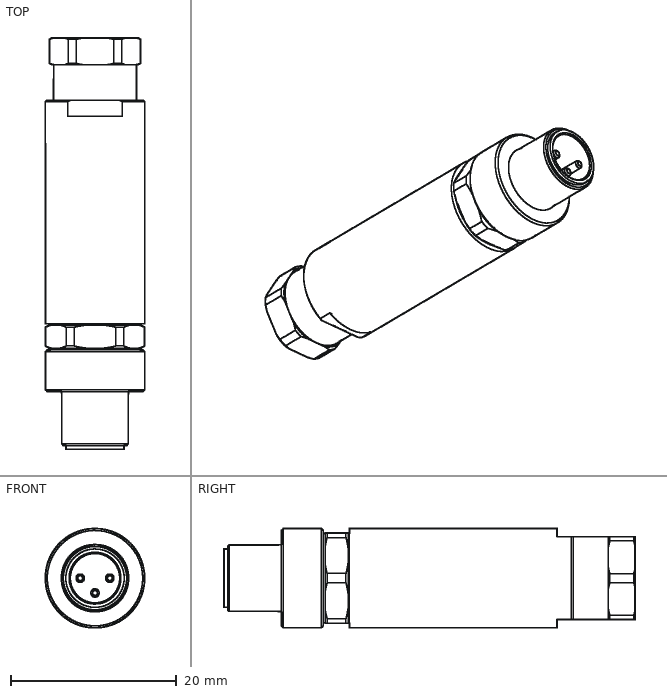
import cadquery as cq
import math

LENGTH = 49.6
BODY_R = 6.0

LIP_R = 3.5
LIP_END = 0.45
PLUG_R = 4.0
PLUG_CHAMFER = 0.2
SOCKET_R = 3.0
SOCKET_DEPTH = 5.7
RIM_BEVEL = 0.15

FOOT_START = 6.45
FOOT_R = 4.05

COLLAR_START = 6.95
COLLAR_END = 12.0
COLLAR_CHAMFER = 0.25

FRONT_HEX_FLATS = 10.9
FRONT_HEX_START = 12.2
FRONT_HEX_END = 15.0
GROOVE_R = 5.4

BODY_START = 15.15
BODY_END = 42.1
BODY_CHAMFER = 0.2
WRENCH_FLATS = 10.0
WRENCH_START = 40.2

NECK_R = WRENCH_FLATS / 2
NUT_START = 46.4
NUT_FLATS = 10.0
NUT_R = 5.5

HEX_BEVEL_ANGLE = 30
FRONT_HEX_BEVEL = 0.45
NUT_BEVEL = 0.3

PIN_R = 0.5
PIN_TIP = 0.6
PIN_CHAMFER = 0.2
PIN_CIRCLE_R = 1.8
PIN_ANGLES = (0, 180, 270)


def cylinder(radius, start, end, x=0, z=0):
    """Cylinder along Y from start to end, with its axis at (x, z)."""
    plane = cq.Workplane("XZ", origin=(x, start, z))
    return plane.circle(radius).extrude(start - end)


def revolved(outline):
    """Solid of revolution about Y from (radius, y) points."""
    return cq.Workplane("XY").polyline(outline).close().revolve(360, (0, 0), (0, 1))


def hexagon(flats, corner_r, bevel, start, end):
    """Hexagon along Y, flats facing +Z and -Z, with rounded and bevelled corners."""
    corner_distance = flats / math.cos(math.radians(30))
    prism = cq.Workplane("XZ", origin=(0, start, 0)).polygon(6, corner_distance).extrude(start - end)
    bevel_length = bevel * math.tan(math.radians(HEX_BEVEL_ANGLE))
    envelope = revolved([
        (0, start),
        (corner_r - bevel, start),
        (corner_r, start + bevel_length),
        (corner_r, end - bevel_length),
        (corner_r - bevel, end),
        (0, end),
    ])
    return prism.intersect(envelope)


def plug_sleeve():
    outer = revolved([
        (0, 0),
        (LIP_R, 0),
        (LIP_R, LIP_END),
        (PLUG_R - PLUG_CHAMFER, LIP_END),
        (PLUG_R, LIP_END + PLUG_CHAMFER),
        (PLUG_R, FOOT_START),
        (FOOT_R, COLLAR_START),
        (0, COLLAR_START),
    ])
    socket = revolved([
        (0, 0),
        (SOCKET_R + RIM_BEVEL, 0),
        (SOCKET_R, RIM_BEVEL),
        (SOCKET_R, SOCKET_DEPTH),
        (0, SOCKET_DEPTH),
    ])
    return outer.cut(socket)


def contact_pins():
    pins = cq.Workplane("XY")
    for angle in PIN_ANGLES:
        x = PIN_CIRCLE_R * math.cos(math.radians(angle))
        z = PIN_CIRCLE_R * math.sin(math.radians(angle))
        pin = cylinder(PIN_R, PIN_TIP, COLLAR_START, x, z)
        pins = pins.add(pin.faces("<Y").chamfer(PIN_CHAMFER))
    return pins.combine()


def collar():
    return cylinder(BODY_R, COLLAR_START, COLLAR_END).edges().chamfer(COLLAR_CHAMFER)


def body():
    barrel = cylinder(BODY_R, BODY_START, BODY_END).faces(">Y").chamfer(BODY_CHAMFER)
    flat_length = BODY_END - WRENCH_START
    between_flats = cq.Workplane("XY").box(2 * BODY_R, flat_length, WRENCH_FLATS)
    removed = cylinder(2 * BODY_R, WRENCH_START, BODY_END).cut(
        between_flats.translate((0, WRENCH_START + flat_length / 2, 0))
    )
    return barrel.cut(removed)


result = (
    plug_sleeve()
    .union(contact_pins())
    .union(collar())
    .union(hexagon(FRONT_HEX_FLATS, BODY_R, FRONT_HEX_BEVEL, FRONT_HEX_START, FRONT_HEX_END))
    .union(cylinder(GROOVE_R, COLLAR_END, BODY_START))
    .union(body())
    .union(cylinder(NECK_R, BODY_END, NUT_START))
    .union(hexagon(NUT_FLATS, NUT_R, NUT_BEVEL, NUT_START, LENGTH))
)